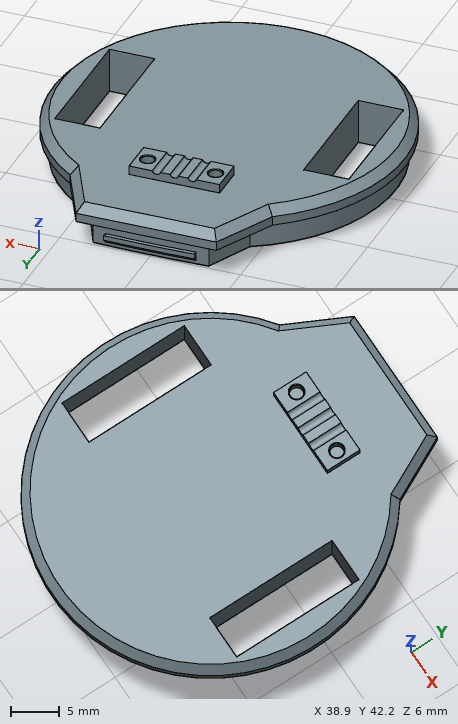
import cadquery as cq
import math

BODY_RADIUS = 18.5
BODY_HEIGHT = 3.0
BOTTOM_CHAMFER = 0.15
FLANGE_OVERHANG = 0.925
RIM_HEIGHT = 1.0
BEVEL_HEIGHT = 1.0
FLANGE_RADIUS = BODY_RADIUS + FLANGE_OVERHANG
BEVEL_BASE = BODY_HEIGHT + RIM_HEIGHT
FLANGE_TOP = BEVEL_BASE + BEVEL_HEIGHT
BEVEL_ANGLE = math.degrees(math.atan2(FLANGE_OVERHANG, BEVEL_HEIGHT))

FLANGE_TAB_END_Y = 22.755
FLANGE_TAB_HALF_WIDTH = 7.75
FLANGE_TAB_SLOPE = 2.0

BODY_TAB_CORNER_Y = 21.46
BODY_TAB_HALF_WIDTH = 6.4
BODY_TAB_SLOPE = 2.12
BODY_TAB_BOW = 0.12
BODY_TAB_END_Y = BODY_TAB_CORNER_Y + BODY_TAB_BOW
BOW_RADIUS = (BODY_TAB_HALF_WIDTH**2 + BODY_TAB_BOW**2) / (2 * BODY_TAB_BOW)
BOW_CENTER_Y = BODY_TAB_END_Y - BOW_RADIUS

CATCH_DEPTH = 0.45
CATCH_WIDTH = 10.0
CATCH_ROOT = 0.5
CATCH_TOP = 1.5
CATCH_TIP_HEIGHT = 0.55

SLOT_WIDTH = 5.0
SLOT_LENGTH = 15.0
SLOT_CENTER_X = 13.75

PAD_WIDTH = 10.0
PAD_LENGTH = 4.0
PAD_HEIGHT = 1.0
PAD_CENTER_Y = 13.05
PAD_TOP = FLANGE_TOP + PAD_HEIGHT
GROOVE_COUNT = 3
GROOVE_PITCH = 1.97
GROOVE_RADIUS = 0.5
GROOVE_DEPTH = 0.32
PIN_HOLE_DIAMETER = 1.5
PIN_HOLE_SPACING = 7.5
PIN_HOLE_CHAMFER = 0.1


def flange_layer(base_z, height, taper):
    """Disc plus trapezoid tab, both narrowing upward by the taper angle."""
    base_half_width = FLANGE_TAB_HALF_WIDTH + FLANGE_TAB_END_Y / FLANGE_TAB_SLOPE
    plane = cq.Workplane("XY").workplane(offset=base_z)
    disc = plane.circle(FLANGE_RADIUS).extrude(height, taper=taper)
    tab = plane.polyline([
        (-base_half_width, 0),
        (base_half_width, 0),
        (FLANGE_TAB_HALF_WIDTH, FLANGE_TAB_END_Y),
        (-FLANGE_TAB_HALF_WIDTH, FLANGE_TAB_END_Y),
    ]).close().extrude(height, taper=taper)
    return disc.union(tab)


def make_flange():
    rim = flange_layer(BODY_HEIGHT, RIM_HEIGHT, 0)
    bevel = flange_layer(BEVEL_BASE, BEVEL_HEIGHT, BEVEL_ANGLE)
    return rim.union(bevel)


def make_body():
    base_half_width = BODY_TAB_HALF_WIDTH + BODY_TAB_CORNER_Y / BODY_TAB_SLOPE
    disc = cq.Workplane("XY").circle(BODY_RADIUS).extrude(BODY_HEIGHT)
    tab = (
        cq.Workplane("XY")
        .moveTo(-base_half_width, 0)
        .lineTo(base_half_width, 0)
        .lineTo(BODY_TAB_HALF_WIDTH, BODY_TAB_CORNER_Y)
        .threePointArc((0, BODY_TAB_END_Y), (-BODY_TAB_HALF_WIDTH, BODY_TAB_CORNER_Y))
        .close()
        .extrude(BODY_HEIGHT)
    )
    return disc.union(tab).faces("<Z").chamfer(BOTTOM_CHAMFER)


def make_catch():
    """Ledge with a flat tip and a 45 degree lead-in, swept along the bowed end."""
    wall = BOW_RADIUS
    root = wall - CATCH_ROOT
    tip = wall + CATCH_DEPTH
    tip_bottom = CATCH_TOP - CATCH_TIP_HEIGHT
    lead_in_bottom = tip_bottom - CATCH_DEPTH
    sweep_angle = 2 * math.degrees(math.asin(CATCH_WIDTH / 2 / wall))
    catch = cq.Workplane("YZ").polyline([
        (root, CATCH_TOP),
        (tip, CATCH_TOP),
        (tip, tip_bottom),
        (wall, lead_in_bottom),
        (root, lead_in_bottom),
    ]).close().revolve(sweep_angle, (0, 0), (0, 1))
    centered = catch.rotate((0, 0, 0), (0, 0, 1), -sweep_angle / 2)
    return centered.translate((0, BOW_CENTER_Y, 0))


def make_slots():
    return (
        cq.Workplane("XY")
        .pushPoints([(-SLOT_CENTER_X, 0), (SLOT_CENTER_X, 0)])
        .rect(SLOT_WIDTH, SLOT_LENGTH)
        .extrude(FLANGE_TOP)
    )


def cut_grooves(pad):
    axis_z = PAD_TOP - GROOVE_DEPTH + GROOVE_RADIUS
    for index in range(GROOVE_COUNT):
        groove_x = (index - (GROOVE_COUNT - 1) / 2) * GROOVE_PITCH
        groove = (
            cq.Workplane("XZ", origin=(groove_x, PAD_CENTER_Y, axis_z))
            .circle(GROOVE_RADIUS)
            .extrude(PAD_LENGTH, both=True)
        )
        pad = pad.cut(groove)
    return pad


def cut_pin_holes(pad):
    """Holes as deep as the pad, with a small countersink at the top."""
    return (
        pad.cut(
            cq.Workplane("XY", origin=(0, PAD_CENTER_Y, PAD_TOP))
            .pushPoints([(-PIN_HOLE_SPACING / 2, 0), (PIN_HOLE_SPACING / 2, 0)])
            .circle(PIN_HOLE_DIAMETER / 2)
            .extrude(-PAD_HEIGHT)
        )
        .faces(">Z").edges("%CIRCLE").chamfer(PIN_HOLE_CHAMFER)
    )


def make_pad():
    pad = (
        cq.Workplane("XY", origin=(0, PAD_CENTER_Y, FLANGE_TOP))
        .rect(PAD_WIDTH, PAD_LENGTH)
        .extrude(PAD_HEIGHT)
    )
    return cut_grooves(cut_pin_holes(pad))


cover = make_body().union(make_flange()).union(make_catch())
result = cover.cut(make_slots()).union(make_pad())